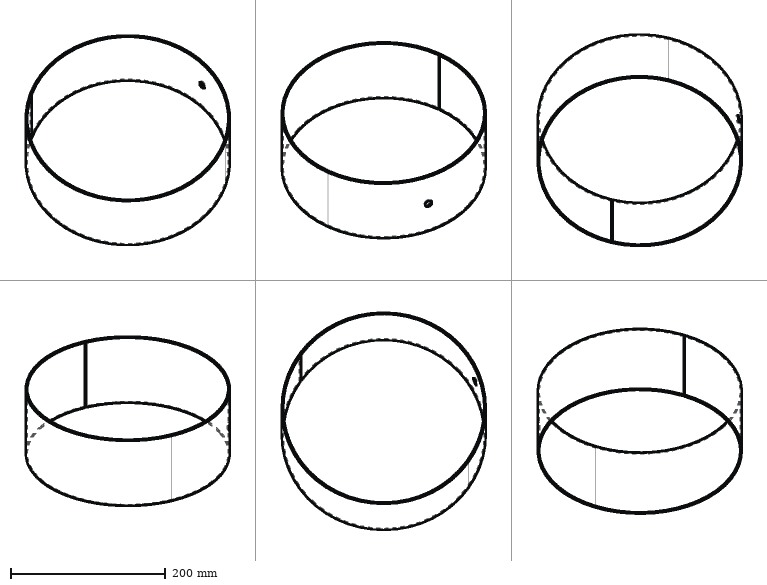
import cadquery as cq

outer_diameter = 265.0
height = 100.0
wall = 2.5
bevel_height = 1.5
bevel_depth = 0.65
slit_width = 2.0
hole_diameter = 10.0
hole_angle = 59.0
hole_height = height / 2

outer_radius = outer_diameter / 2
inner_radius = outer_radius - wall


def make_band():
    """Thin ring revolved about Z, bevelled inside and outside at both rims."""
    profile = [
        (inner_radius, bevel_height),
        (inner_radius + bevel_depth, 0),
        (outer_radius - bevel_depth, 0),
        (outer_radius, bevel_height),
        (outer_radius, height - bevel_height),
        (outer_radius - bevel_depth, height),
        (inner_radius + bevel_depth, height),
        (inner_radius, height - bevel_height),
    ]
    return cq.Workplane("XZ").polyline(profile).close().revolve(360, (0, 0), (0, 1))


def make_slit():
    """Full-height cut through the -X wall, with one face on the XZ plane."""
    slit = cq.Workplane("XY").box(outer_radius, slit_width, height, centered=False)
    return slit.translate((-outer_radius, 0, 0))


def make_hole():
    """Radial drill through one side of the wall."""
    drill = cq.Workplane("YZ").circle(hole_diameter / 2).extrude(outer_diameter)
    return drill.translate((0, 0, hole_height)).rotate((0, 0, 0), (0, 0, 1), hole_angle)


result = make_band().cut(make_slit()).cut(make_hole())